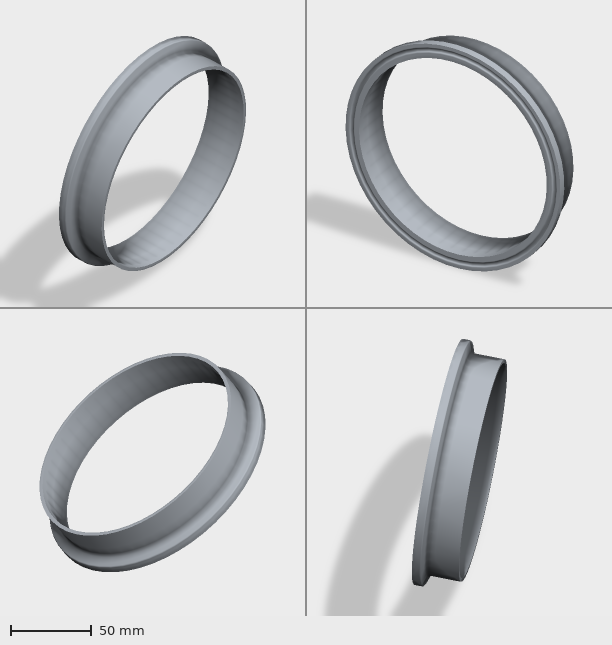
import cadquery as cq
import math

length = 28.0
flange_radius = 77.5
tube_radius = 70.0
bore_radius = 67.7

rim_width = 4.6
rim_round = 1.0
cone_angle = math.radians(20)
tube_fillet = 2.0

groove_radius = 73.2
groove_floor_round = 1.2
groove_lip_round = 1.0
groove_wall_angle = math.radians(70)


def on_circle(center, radius, angle):
    """Point (x, r) on a circle, with the angle measured from +r towards +x."""
    return (center[0] + radius * math.sin(angle), center[1] + radius * math.cos(angle))


turn = math.pi / 2 - cone_angle
rim_center = (rim_width, flange_radius - rim_round)
cone_top = on_circle(rim_center, rim_round, turn)

fillet_center_r = tube_radius + tube_fillet
cone_bottom_r = fillet_center_r - tube_fillet * math.cos(turn)
cone_bottom_x = cone_top[0] + (cone_top[1] - cone_bottom_r) * math.tan(cone_angle)
fillet_center = (cone_bottom_x + tube_fillet * math.sin(turn), fillet_center_r)

body_profile = (
    cq.Workplane("XZ")
    .moveTo(0, bore_radius)
    .lineTo(0, flange_radius)
    .lineTo(rim_width, flange_radius)
    .threePointArc(on_circle(rim_center, rim_round, turn / 2), cone_top)
    .lineTo(cone_bottom_x, cone_bottom_r)
    .threePointArc(
        on_circle(fillet_center, tube_fillet, math.pi + turn / 2),
        (fillet_center[0], tube_radius),
    )
    .lineTo(length, tube_radius)
    .lineTo(length, bore_radius)
    .close()
)

wall_offset = groove_floor_round * math.sin(groove_wall_angle)
lip_offset = (groove_floor_round + groove_lip_round) * math.sin(groove_wall_angle)
wall_depth = groove_lip_round * (1 - math.cos(groove_wall_angle))
groove_depth = (groove_floor_round + groove_lip_round) * (1 - math.cos(groove_wall_angle))
lip_mid_offset = lip_offset - groove_lip_round * math.sin(groove_wall_angle / 2)
lip_mid_depth = groove_lip_round * (1 - math.cos(groove_wall_angle / 2))

groove_profile = (
    cq.Workplane("XZ")
    .moveTo(0, groove_radius + lip_offset)
    .threePointArc(
        (lip_mid_depth, groove_radius + lip_mid_offset),
        (wall_depth, groove_radius + wall_offset),
    )
    .threePointArc(
        (groove_depth, groove_radius),
        (wall_depth, groove_radius - wall_offset),
    )
    .threePointArc(
        (lip_mid_depth, groove_radius - lip_mid_offset),
        (0, groove_radius - lip_offset),
    )
    .close()
)


def revolve_about_axis(profile):
    return profile.revolve(360, (0, 0, 0), (1, 0, 0))


result = revolve_about_axis(body_profile).cut(revolve_about_axis(groove_profile))